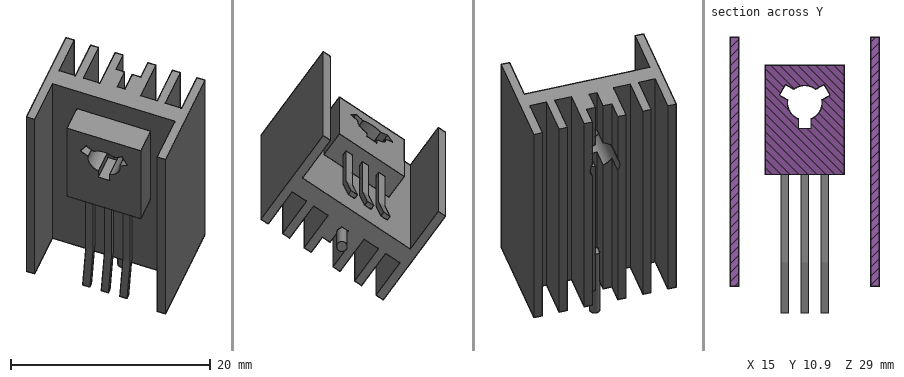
import cadquery as cq
import math

SINK_WIDTH = 15.0
SINK_DEPTH = 10.9
SINK_HEIGHT = 25.0
OVERALL_HEIGHT = 29.0
WALL_THICKNESS = 0.9
FIN_DEPTH = 4.2
FIN_THICKNESS = 0.87
FIN_PITCH = 2.65
BASE_FRONT_DEPTH = 6.0

WEB_DEPTH = 1.97
SLOT_WIDTH = 0.8
SLOT_DEPTH = 4.0

PIN_DIAMETER = 1.07
PIN_PROJECTION = OVERALL_HEIGHT - SINK_HEIGHT
PIN_INSERTION = PIN_PROJECTION
PIN_Y = PIN_DIAMETER / 2 - SLOT_DEPTH

PACKAGE_WIDTH = 7.95
PACKAGE_THICKNESS = 2.7
PACKAGE_HEIGHT = 11.0
PACKAGE_BOTTOM = 11.2
PACKAGE_BACK_Y = -BASE_FRONT_DEPTH

HOLE_Z = 18.42
SINK_HOLE_DIAMETER = 3.1
PACKAGE_HOLE_DIAMETER = 3.45
NOTCH_COUNT = 3
NOTCH_WIDTH = 1.22
NOTCH_REACH = 2.58

LEAD_COUNT = 3
LEAD_PITCH = 2.0
LEAD_WIDTH = 0.78
LEAD_THICKNESS = 0.5
LEAD_BEND_Z = 2.35
LEAD_TIP_Z = -2.7
LEAD_BEND_ANGLE = 10.0
LEAD_MID_Y = PACKAGE_BACK_Y - PACKAGE_THICKNESS / 2


def upright_block(width, y_back, y_front, height):
    """Block on Z = 0, centred on X, between two Y positions (back is the larger Y)."""
    depth = y_back - y_front
    block = cq.Workplane("XY").box(width, depth, height, centered=(True, False, False))
    return block.translate((0, y_front, 0))


def hole_tool(diameter, y_back, y_front):
    """Cylinder along Y on the mounting hole axis."""
    return (
        cq.Workplane("XZ", origin=(0, y_back, HOLE_Z))
        .circle(diameter / 2)
        .extrude(y_back - y_front)
    )


def make_pin():
    """Round pin in the slot, half of it standing out below the heatsink."""
    return (
        cq.Workplane("XY", origin=(0, PIN_Y, -PIN_PROJECTION))
        .circle(PIN_DIAMETER / 2)
        .extrude(PIN_PROJECTION + PIN_INSERTION)
    )


def make_heatsink(pin):
    """Base, side walls, fins and slotted web, with the mounting hole and the bore for the pin."""
    base_back_y = -FIN_DEPTH
    sink = upright_block(SINK_WIDTH, base_back_y, -BASE_FRONT_DEPTH, SINK_HEIGHT)

    side_wall = upright_block(WALL_THICKNESS, 0, -SINK_DEPTH, SINK_HEIGHT)
    fin = upright_block(FIN_THICKNESS, 0, base_back_y, SINK_HEIGHT)
    wall_x = (SINK_WIDTH - WALL_THICKNESS) / 2
    outer_fin_x = wall_x - FIN_PITCH
    inner_fin_x = outer_fin_x - FIN_PITCH
    for side in (-1, 1):
        sink = sink.union(side_wall.translate((side * wall_x, 0, 0)))
        for fin_x in (outer_fin_x, inner_fin_x):
            sink = sink.union(fin.translate((side * fin_x, 0, 0)))

    web_width = 2 * inner_fin_x
    sink = sink.union(upright_block(web_width, -WEB_DEPTH, base_back_y, SINK_HEIGHT))
    sink = sink.cut(upright_block(SLOT_WIDTH, 0, -SLOT_DEPTH, SINK_HEIGHT))
    sink = sink.cut(hole_tool(SINK_HOLE_DIAMETER, 0, -BASE_FRONT_DEPTH))
    return sink.cut(pin)


def make_notch(angle):
    """Slot from the hole axis outwards, starting from straight down and turned about the axis."""
    notch = (
        cq.Workplane("XZ", origin=(0, PACKAGE_BACK_Y, HOLE_Z))
        .center(0, -NOTCH_REACH / 2)
        .rect(NOTCH_WIDTH, NOTCH_REACH)
        .extrude(PACKAGE_THICKNESS)
    )
    return notch.rotate((0, 0, HOLE_Z), (0, 1, HOLE_Z), angle)


def make_lead(x):
    """Flat strip, straight down from the package and then bent forwards, with a level tip."""
    half = LEAD_THICKNESS / 2
    bend_shift = (LEAD_BEND_Z - LEAD_TIP_Z) * math.tan(math.radians(LEAD_BEND_ANGLE))
    back_y = LEAD_MID_Y + half
    front_y = LEAD_MID_Y - half
    return (
        cq.Workplane("YZ", origin=(x - LEAD_WIDTH / 2, 0, 0))
        .polyline([
            (back_y, PACKAGE_BOTTOM),
            (back_y, LEAD_BEND_Z),
            (back_y - bend_shift, LEAD_TIP_Z),
            (front_y - bend_shift, LEAD_TIP_Z),
            (front_y, LEAD_BEND_Z),
            (front_y, PACKAGE_BOTTOM),
        ])
        .close()
        .extrude(LEAD_WIDTH)
    )


def make_transistor():
    """Package with a notched through hole, and its leads."""
    package_front_y = PACKAGE_BACK_Y - PACKAGE_THICKNESS
    package = upright_block(PACKAGE_WIDTH, PACKAGE_BACK_Y, package_front_y, PACKAGE_HEIGHT)
    transistor = package.translate((0, 0, PACKAGE_BOTTOM))
    transistor = transistor.cut(hole_tool(PACKAGE_HOLE_DIAMETER, PACKAGE_BACK_Y, package_front_y))
    for index in range(NOTCH_COUNT):
        transistor = transistor.cut(make_notch(index * 360 / NOTCH_COUNT))
    for index in range(LEAD_COUNT):
        lead_x = (index - (LEAD_COUNT - 1) / 2) * LEAD_PITCH
        transistor = transistor.union(make_lead(lead_x))
    return transistor


solder_pin = make_pin()
heatsink = make_heatsink(solder_pin)
transistor = make_transistor()

result = cq.Compound.makeCompound([heatsink.val(), transistor.val(), solder_pin.val()])